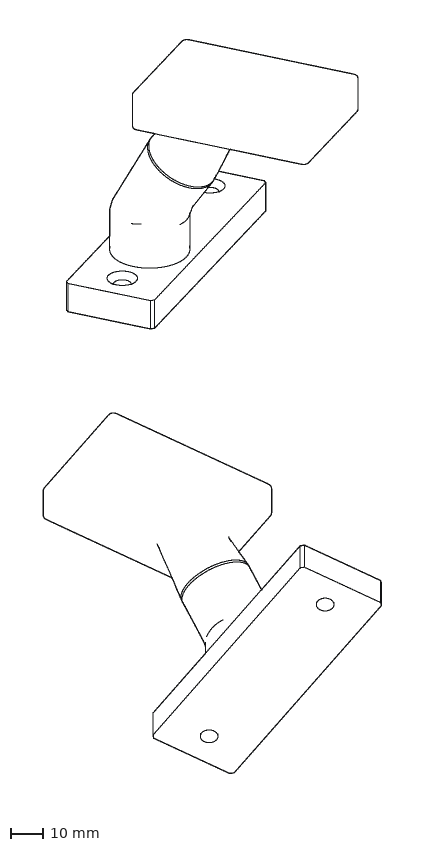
import cadquery as cq
import math

plate_width = 30.0
plate_length = 87.0
plate_thickness = 10.0
plate_corner_chamfer = 1.0
screw_hole_diameter = 5.5
countersink_diameter = 9.5
countersink_angle = 90.0
screw_hole_spacing = 67.0

stem_y = -12.5
post_diameter = 25.0
bend_height = 25.0
lean_angle = 30.0
arm_length = 21.5
joint_diameter = 23.6
outer_bevel_angle = 6.5
inner_bevel_angle = 9.0

spacer_thickness = 0.8

overall_length = 77.5
overall_height = 76.0
head_length = 60.0
head_width = 41.0
head_rim_height = 12.5
crown_height = 0.9
crown_inset = 14.35
head_corner_radius = 2.0
head_edge_radius = 1.0
neck_diameter = 20.4
neck_x = 21.8
neck_fillet_radius = 3.7

head_x = overall_length - (plate_width + head_length) / 2
rim_top = overall_height - crown_height
rim_bottom = rim_top - head_rim_height
head_bottom = rim_bottom - crown_height
head_middle = (rim_top + rim_bottom) / 2
lean = math.radians(lean_angle)


def disc_plane(x, z, tilt=0.0):
    """Plane across the stem at x, z, its normal tilted from +Z toward +X."""
    normal = (math.sin(tilt), 0, math.cos(tilt))
    return cq.Plane(origin=(x, stem_y, z), xDir=(0, 1, 0), normal=normal)


def arm_plane(distance):
    """Plane square to the leaning arm, at a distance along its axis from the bend."""
    return disc_plane(distance * math.sin(lean), bend_height + distance * math.cos(lean), lean)


def ruled_tube(start_plane, start_diameter, end_plane, end_diameter):
    """Straight-sided solid between two circles that need not be parallel."""
    start = cq.Workplane(start_plane).circle(start_diameter / 2).wire().val()
    end = cq.Workplane(end_plane).circle(end_diameter / 2).wire().val()
    return cq.Workplane(cq.Solid.makeLoft([start, end], True))


def make_plate():
    half_spacing = screw_hole_spacing / 2
    return (
        cq.Workplane("XY")
        .box(plate_width, plate_length, plate_thickness, centered=(True, True, False))
        .edges("|Z")
        .chamfer(plate_corner_chamfer)
        .faces(">Z")
        .workplane()
        .pushPoints([(0, -half_spacing), (0, half_spacing)])
        .cskHole(screw_hole_diameter, countersink_diameter, countersink_angle)
    )


def bend_gap(side, half_angle):
    """Wedge with its tip on the Y line through the bend; side is -1 toward -X and 1 toward +X."""
    reach = post_diameter
    spread = reach * math.tan(math.radians(half_angle))
    return (
        cq.Workplane("XZ", origin=(0, stem_y, bend_height))
        .polyline([(0, 0), (side * reach, spread), (side * reach, -spread)])
        .close()
        .extrude(post_diameter, both=True)
    )


def toward_x(shape):
    return shape.Center().x


def make_stem():
    """Post and arm joined by bevels that are widest at -X and +X and fade out at the Y sides."""
    bend = disc_plane(0, bend_height)
    gaps = bend_gap(-1, outer_bevel_angle).union(bend_gap(1, inner_bevel_angle))
    post = cq.Workplane(bend).circle(post_diameter / 2).extrude(plate_thickness - bend_height).cut(gaps)
    arm = ruled_tube(bend, post_diameter, arm_plane(arm_length), joint_diameter).cut(gaps)

    post_wall = post.faces("%CYLINDER")
    arm_gap_faces = arm.faces("(%PLANE) and (not >Z)")
    post_rims = post_wall.edges("%ELLIPSE").sort(toward_x).vals()
    arm_rims = arm_gap_faces.edges("%BSPLINE").sort(toward_x).vals()
    bevels = [cq.Face.makeRuledSurface(*rims) for rims in zip(post_rims, arm_rims)]

    walls = [post_wall.val(), arm.faces("not %PLANE").val()]
    ends = [post.faces("<Z").val(), arm.faces(">Z").val()]
    return cq.Workplane(cq.Solid.makeSolid(cq.Shell.makeShell(walls + bevels + ends)))


def make_spacer():
    return cq.Workplane(arm_plane(arm_length)).circle(joint_diameter / 2).extrude(spacer_thickness)


def make_crown(base_height, rise):
    """Hipped cap from the rim outline to the flat in its middle; a negative rise points down."""
    return (
        cq.Workplane("XY", origin=(head_x, stem_y, base_height))
        .rect(head_length, head_width)
        .workplane(offset=rise)
        .rect(head_length - 2 * crown_inset, head_width - 2 * crown_inset)
        .loft(ruled=True)
    )


def round_rim(body, height):
    """Round the edge loop where the rim wall meets a crown."""
    tolerance = head_edge_radius / 10
    reach = 2 * overall_length
    rim_loop = cq.selectors.BoxSelector(
        (-reach, -reach, height - tolerance), (reach, reach, height + tolerance)
    )
    return body.edges(rim_loop).fillet(head_edge_radius)


def make_head():
    rim = cq.Workplane("XY", origin=(head_x, stem_y, head_middle)).box(
        head_length, head_width, head_rim_height
    )
    head = rim.union(make_crown(rim_top, crown_height)).union(make_crown(rim_bottom, -crown_height))
    head = head.edges("|Z").fillet(head_corner_radius)
    return round_rim(round_rim(head, rim_top), rim_bottom)


def make_neck():
    """Taper reaching neck_diameter under the head and carried on to the middle of the head."""
    base = arm_plane(arm_length + spacer_thickness)
    stretch = (head_middle - base.origin.z) / (head_bottom - base.origin.z)
    end_x = base.origin.x + stretch * (neck_x - base.origin.x)
    end_diameter = joint_diameter + stretch * (neck_diameter - joint_diameter)
    return ruled_tube(base, joint_diameter, disc_plane(end_x, head_middle), end_diameter)


def make_knob():
    knob = make_head().union(make_neck())
    reach = joint_diameter / 2
    neck_seam = cq.selectors.BoxSelector(
        (neck_x - reach, stem_y - reach, head_bottom - crown_height / 10),
        (neck_x + reach, stem_y + reach, rim_bottom),
    )
    return knob.edges(neck_seam).fillet(neck_fillet_radius)


plate = make_plate()
stem = make_stem()
spacer = make_spacer()
knob = make_knob()

bodies = [plate, stem, spacer, knob]
result = cq.Compound.makeCompound([body.solids().val() for body in bodies])